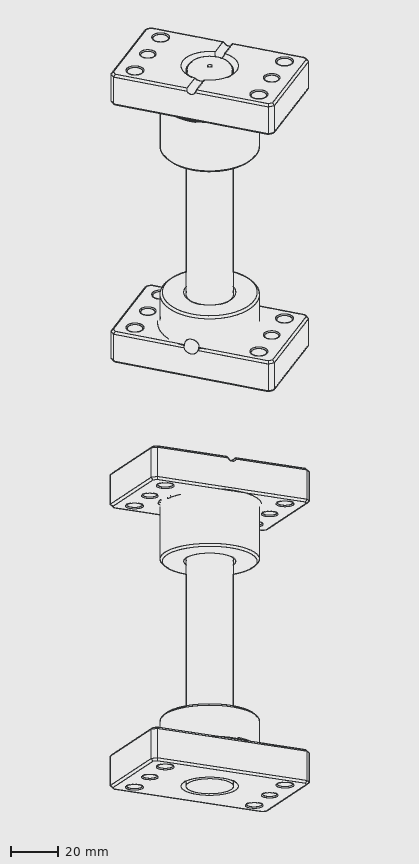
import cadquery as cq

total_height = 140.0
plate_length = 74.0
plate_width = 44.0
plate_thickness = 15.0
corner_chamfer = 2.0
edge_chamfer = 1.0

collar_diameter = 42.0
upper_flange_height = 40.0
lower_flange_height = 30.0
collar_chamfer = edge_chamfer
collar_root_radius = 1.0

rod_diameter = 20.0
lead_diameter = 19.0
lead_length = 3.5
lead_end_radius = 2.0
center_mark_diameter = 2.0
center_mark_depth = 2.0
bore_mouth_chamfer = 1.0
bore_entry_chamfer = 2.1

hole_column_spacing = 56.0
hole_row_spacing = 15.0
outer_hole_diameter = 6.6
middle_hole_diameter = 6.0
hole_chamfer = 0.49

oil_groove_radius = 2.1
oil_port_diameter = 6.6


def mounting_plate():
    """Chamfered plate resting on z = 0."""
    return (
        cq.Workplane("XY")
        .box(plate_length, plate_width, plate_thickness, centered=(True, True, False))
        .edges("|Z").chamfer(corner_chamfer)
        .faces("<Z or >Z").edges().chamfer(edge_chamfer)
    )


def collar(height):
    """Round collar with a chamfered rim and a filleted root, from z = 0 up to height."""
    radius = collar_diameter / 2
    root_z = plate_thickness
    profile = (
        cq.Workplane("XZ")
        .lineTo(radius, 0)
        .lineTo(radius, root_z)
        .lineTo(radius + collar_root_radius, root_z)
        .radiusArc((radius, root_z + collar_root_radius), collar_root_radius)
        .lineTo(radius, height - collar_chamfer)
        .lineTo(radius - collar_chamfer, height)
        .lineTo(0, height)
        .close()
    )
    return profile.revolve(360, (0, 0, 0), (0, 1, 0))


def rod_bore(height):
    """Cutter for the rod bore: wide chamfer at the plate face, narrow one at the collar."""
    radius = rod_diameter / 2
    return (
        cq.Workplane("XZ")
        .lineTo(radius + bore_entry_chamfer, 0)
        .lineTo(radius, bore_entry_chamfer)
        .lineTo(radius, height - bore_mouth_chamfer)
        .lineTo(radius + bore_mouth_chamfer, height)
        .lineTo(0, height)
        .close()
        .revolve(360, (0, 0, 0), (0, 1, 0))
    )


def mounting_hole(diameter):
    """Cutter for one through hole, chamfered at both plate faces."""
    radius = diameter / 2
    return (
        cq.Workplane("XZ")
        .lineTo(radius + hole_chamfer, 0)
        .lineTo(radius, hole_chamfer)
        .lineTo(radius, plate_thickness - hole_chamfer)
        .lineTo(radius + hole_chamfer, plate_thickness)
        .lineTo(0, plate_thickness)
        .close()
        .revolve(360, (0, 0, 0), (0, 1, 0))
    )


def flange(height):
    """Plate and collar with bore and mounting holes, plate face on z = 0."""
    body = mounting_plate().union(collar(height)).cut(rod_bore(height))
    for column in (-1, 1):
        for row in (-1, 0, 1):
            diameter = middle_hole_diameter if row == 0 else outer_hole_diameter
            place = (column * hole_column_spacing / 2, row * hole_row_spacing, 0)
            body = body.cut(mounting_hole(diameter).translate(place))
    return body


def lower_flange():
    """Flange with a radial oil port from the front side into the bore."""
    port = (
        cq.Workplane("XZ", origin=(0, 0, plate_thickness))
        .circle(oil_port_diameter / 2)
        .extrude(plate_width / 2)
    )
    return flange(lower_flange_height).cut(port)


def upper_flange():
    """Inverted flange with a round-bottomed oil groove across its top face."""
    body = (
        flange(upper_flange_height)
        .rotate((0, 0, 0), (1, 0, 0), 180)
        .translate((0, 0, total_height))
    )
    groove = (
        cq.Workplane("XZ", origin=(0, 0, total_height))
        .moveTo(-oil_groove_radius, 0)
        .radiusArc((oil_groove_radius, 0), -oil_groove_radius)
        .close()
        .extrude(plate_width / 2, both=True)
    )
    return body.cut(groove)


def guide_rod():
    """Rod with a slightly reduced, rounded lead at the top and a drilled center mark."""
    radius = rod_diameter / 2
    lead_radius = lead_diameter / 2
    lead_z = total_height - lead_length
    body = (
        cq.Workplane("XY")
        .circle(radius)
        .extrude(lead_z)
        .faces(">Z").workplane()
        .circle(lead_radius)
        .extrude(lead_length)
        .faces(">Z").edges().fillet(lead_end_radius)
    )
    mark_radius = center_mark_diameter / 2
    mark = (
        cq.Workplane("XZ", origin=(0, 0, total_height))
        .lineTo(mark_radius, 0)
        .lineTo(mark_radius, -center_mark_depth)
        .lineTo(0, -center_mark_depth - mark_radius)
        .close()
        .revolve(360, (0, 0, 0), (0, 1, 0))
    )
    return body.cut(mark)


lower = lower_flange()
upper = upper_flange()
rod = guide_rod()

result = cq.Compound.makeCompound([lower.solids().val(), upper.solids().val(), rod.solids().val()])